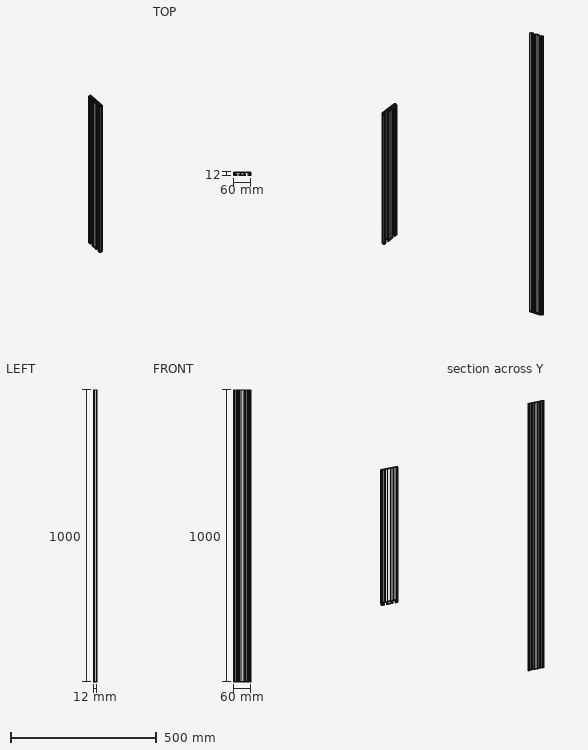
import cadquery as cq

LENGTH = 1000
WIDTH = 60
THICKNESS = 12.0
CORNER_RADIUS = 3.0

SKIN = 2.5
WEB = 1.0

SLOT_SPACING = 30
RECESS_WIDTH = 11.0
RECESS_DEPTH = 1.0
MOUTH_WIDTH = 8.0
LIP_THICKNESS = 4.0
CHAMBER_WIDTH = 17.0

GROOVE_WIDTH = 4.0
GROOVE_DEPTH = 1.0

FRONT_Y = -THICKNESS / 2
FLOOR_Y = THICKNESS / 2 - SKIN
SLOT_CENTERS = (-SLOT_SPACING / 2, SLOT_SPACING / 2)


def full_length_bar(center_x, bar_width, y_start, y_end):
    """Rectangular bar over the whole length, used as a cutter."""
    return (
        cq.Workplane("XY")
        .box(bar_width, y_end - y_start, LENGTH)
        .translate((center_x, (y_start + y_end) / 2, 0))
    )


def t_slot(center_x):
    """Stepped entry, narrow mouth, wider chamber behind the lips and a groove in the floor."""
    lip_y = FRONT_Y + LIP_THICKNESS
    recess = full_length_bar(center_x, RECESS_WIDTH, FRONT_Y, FRONT_Y + RECESS_DEPTH)
    mouth = full_length_bar(center_x, MOUTH_WIDTH, FRONT_Y, FLOOR_Y)
    chamber = full_length_bar(center_x, CHAMBER_WIDTH, lip_y, FLOOR_Y)
    groove = full_length_bar(center_x, GROOVE_WIDTH, lip_y, FLOOR_Y + GROOVE_DEPTH)
    return recess.union(mouth).union(chamber).union(groove)


def closed_cavity(x_start, x_end):
    """Lengthwise hollow between the front and back skins, open only at the bar ends."""
    center_x = (x_start + x_end) / 2
    return full_length_bar(center_x, x_end - x_start, FRONT_Y + SKIN, FLOOR_Y)


bar = cq.Workplane("XY").box(WIDTH, THICKNESS, LENGTH)
result = bar.edges("|Z").fillet(CORNER_RADIUS)

for slot_x in SLOT_CENTERS:
    result = result.cut(t_slot(slot_x))

reach_from_slot = CHAMBER_WIDTH / 2 + WEB
center_cavity_end = SLOT_SPACING / 2 - reach_from_slot
side_cavity_start = SLOT_SPACING / 2 + reach_from_slot
side_cavity_end = WIDTH / 2 - SKIN

result = result.cut(closed_cavity(-center_cavity_end, center_cavity_end))
result = result.cut(closed_cavity(side_cavity_start, side_cavity_end))
result = result.cut(closed_cavity(-side_cavity_end, -side_cavity_start))